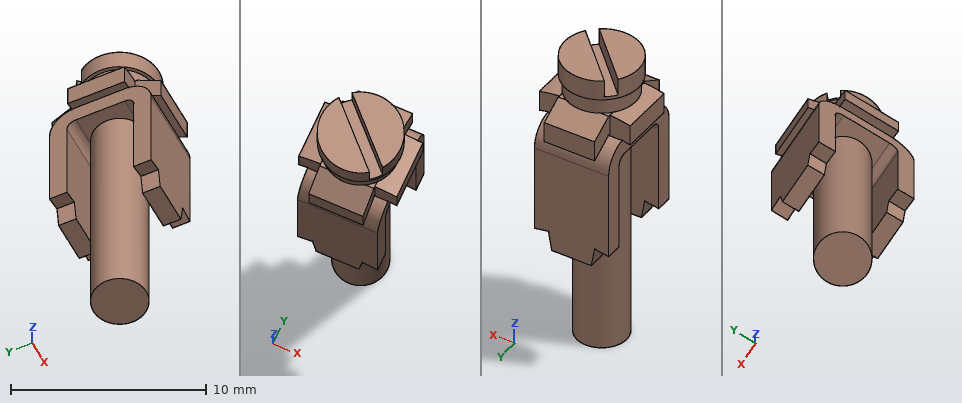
import cadquery as cq
import math

total_height = 17.7

shank_diameter = 3.0
head_diameter = 4.46
head_height = 1.2
collar_diameter = 4.08
collar_height = 1.0
slot_width = 0.72
slot_depth = 1.0
slot_angle = -45.0

washer_length_x = 5.5
washer_length_y = 6.2
x_arm_width = 3.25
y_arm_width = 3.05
washer_thickness = 1.22
x_arm_flat_half_length = 1.0
x_arm_drop = 0.21
y_arm_flat_half_length = 1.75
y_arm_slope = math.tan(math.radians(30.0))

yoke_width = 4.5
yoke_depth = 5.8
yoke_thickness = 1.0
yoke_inner_radius = 0.5
seat_height = 0.11
tongue_length = 11.2
shoulder_length = 10.2
tongue_tip_half_width = 1.2
notch_half_width = 1.4
shoulder_slope = math.tan(math.radians(10.0))

head_bottom = total_height - head_height
washer_top = head_bottom - collar_height
washer_bottom = washer_top - washer_thickness
yoke_top = washer_bottom - seat_height
tongue_tip = total_height - tongue_length
shoulder_corner = total_height - shoulder_length


def make_screw():
    """Shank, collar and slotted head, all coaxial."""
    shank = cq.Workplane("XY").circle(shank_diameter / 2).extrude(washer_top)
    collar = (
        cq.Workplane("XY")
        .workplane(offset=washer_top)
        .circle(collar_diameter / 2)
        .extrude(collar_height)
    )
    head = (
        cq.Workplane("XY")
        .workplane(offset=head_bottom)
        .circle(head_diameter / 2)
        .extrude(head_height)
    )
    slot = (
        cq.Workplane("XY")
        .box(2 * head_diameter, slot_width, slot_depth, centered=(True, True, False))
        .rotate((0, 0, 0), (0, 0, 1), slot_angle)
        .translate((0, 0, total_height - slot_depth))
    )
    return shank.union(collar).union(head).cut(slot)


def make_x_strip():
    """Strip along X whose ends curve down tangentially from the flat middle."""
    half_length = washer_length_x / 2
    run = half_length - x_arm_flat_half_length
    radius = (run**2 + x_arm_drop**2) / (2 * x_arm_drop)
    middle_x = x_arm_flat_half_length + run / 2
    middle_drop = radius - math.sqrt(radius**2 - (run / 2) ** 2)
    return (
        cq.Workplane("XZ")
        .moveTo(-x_arm_flat_half_length, washer_top)
        .lineTo(x_arm_flat_half_length, washer_top)
        .threePointArc((middle_x, washer_top - middle_drop), (half_length, washer_top - x_arm_drop))
        .lineTo(half_length, washer_bottom - x_arm_drop)
        .threePointArc((middle_x, washer_bottom - middle_drop), (x_arm_flat_half_length, washer_bottom))
        .lineTo(-x_arm_flat_half_length, washer_bottom)
        .threePointArc((-middle_x, washer_bottom - middle_drop), (-half_length, washer_bottom - x_arm_drop))
        .lineTo(-half_length, washer_top - x_arm_drop)
        .threePointArc((-middle_x, washer_top - middle_drop), (-x_arm_flat_half_length, washer_top))
        .close()
        .extrude(x_arm_width / 2, both=True)
    )


def make_y_strip():
    """Strip along Y whose ends are bent straight down from the flat middle."""
    half_length = washer_length_y / 2
    drop = (half_length - y_arm_flat_half_length) * y_arm_slope
    outline = [
        (-half_length, washer_top - drop),
        (-y_arm_flat_half_length, washer_top),
        (y_arm_flat_half_length, washer_top),
        (half_length, washer_top - drop),
        (half_length, washer_bottom - drop),
        (y_arm_flat_half_length, washer_bottom),
        (-y_arm_flat_half_length, washer_bottom),
        (-half_length, washer_bottom - drop),
    ]
    return cq.Workplane("YZ").polyline(outline).close().extrude(y_arm_width / 2, both=True)


def make_washer():
    """Two crossed strips and the pad, sunk into the yoke, that carries the X strip."""
    seat = (
        cq.Workplane("XY")
        .workplane(offset=yoke_top - yoke_thickness / 2)
        .rect(yoke_width, x_arm_width)
        .extrude(yoke_thickness / 2 + seat_height)
    )
    return make_x_strip().union(make_y_strip()).union(seat)


def make_yoke():
    """Inverted U with rounded bends and a tapered tongue at the foot of each leg."""
    yoke_height = yoke_top - tongue_tip
    outer = (
        cq.Workplane("XY")
        .workplane(offset=tongue_tip)
        .rect(yoke_width, yoke_depth)
        .extrude(yoke_height)
        .edges("|X and >Z")
        .fillet(yoke_inner_radius + yoke_thickness)
    )
    inner = (
        cq.Workplane("XY")
        .workplane(offset=tongue_tip)
        .rect(yoke_width, yoke_depth - 2 * yoke_thickness)
        .extrude(yoke_height - yoke_thickness)
        .edges("|X and >Z")
        .fillet(yoke_inner_radius)
    )
    yoke = outer.cut(inner)

    half_width = yoke_width / 2
    notch_top = shoulder_corner + (half_width - notch_half_width) * shoulder_slope
    for side in (-1, 1):
        notch = (
            cq.Workplane("XZ")
            .moveTo(side * tongue_tip_half_width, tongue_tip)
            .lineTo(side * notch_half_width, notch_top)
            .lineTo(side * half_width, shoulder_corner)
            .lineTo(side * half_width, tongue_tip)
            .close()
            .extrude(yoke_depth, both=True)
        )
        yoke = yoke.cut(notch)
    return yoke


result = make_screw().union(make_washer()).union(make_yoke())